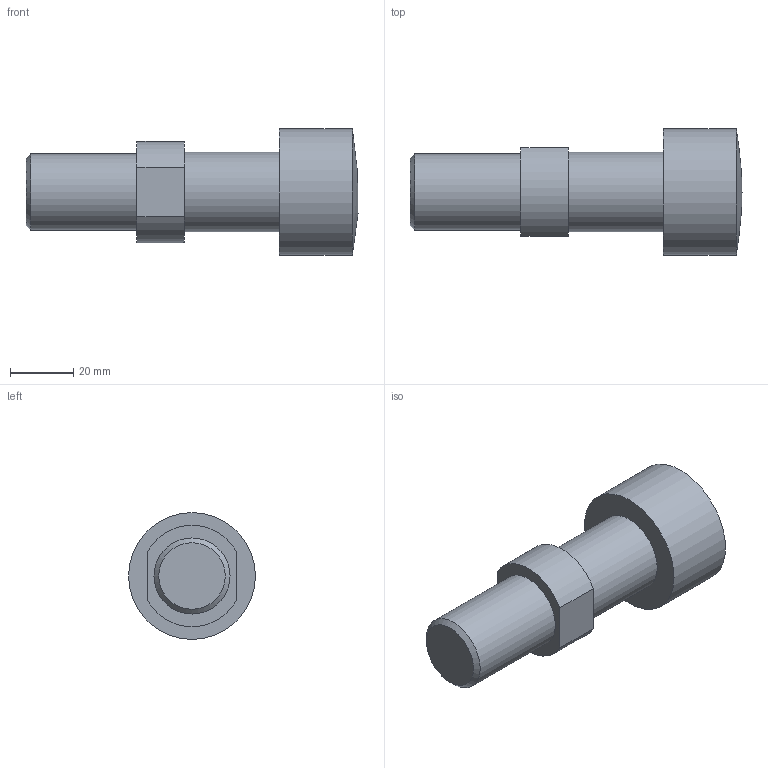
import cadquery as cq

stud_diameter = 24.0
stud_length = 35.0
stud_chamfer = 1.5
collar_diameter = 32.0
collar_length = 15.0
collar_across_flats = 28.0
shank_diameter = 25.0
shank_length = 30.0
head_diameter = 40.0
head_length = 25.0
dome_radius = 100.0

stud_start = 0.0
collar_start = stud_start + stud_length
shank_start = collar_start + collar_length
head_start = shank_start + shank_length
dome_apex = head_start + head_length


def cylinder_along_x(start, length, diameter):
    """Solid cylinder on the X axis, running in +X from the given start."""
    return cq.Workplane("YZ", origin=(start, 0, 0)).circle(diameter / 2).extrude(length)


def make_stud():
    """Plain stud with a chamfered free end."""
    stud = cylinder_along_x(stud_start, stud_length, stud_diameter)
    return stud.faces("<X").chamfer(stud_chamfer)


def make_collar():
    """Round collar with two parallel wrench flats facing -Y and +Y."""
    collar = cylinder_along_x(collar_start, collar_length, collar_diameter)
    flats_envelope = (
        cq.Workplane("YZ", origin=(collar_start, 0, 0))
        .rect(collar_across_flats, collar_diameter)
        .extrude(collar_length)
    )
    return collar.intersect(flats_envelope)


def make_head():
    """Cylindrical head whose +X end is a shallow spherical dome."""
    blank = cylinder_along_x(head_start, head_length, head_diameter)
    sphere_plane = cq.Plane(origin=(dome_apex - dome_radius, 0, 0), xDir=(-1, 0, 0), normal=(0, 0, 1))
    dome_sphere = cq.Workplane(sphere_plane).sphere(dome_radius)
    return blank.intersect(dome_sphere)


shank = cylinder_along_x(shank_start, shank_length, shank_diameter)
result = make_stud().union(make_collar()).union(shank).union(make_head())